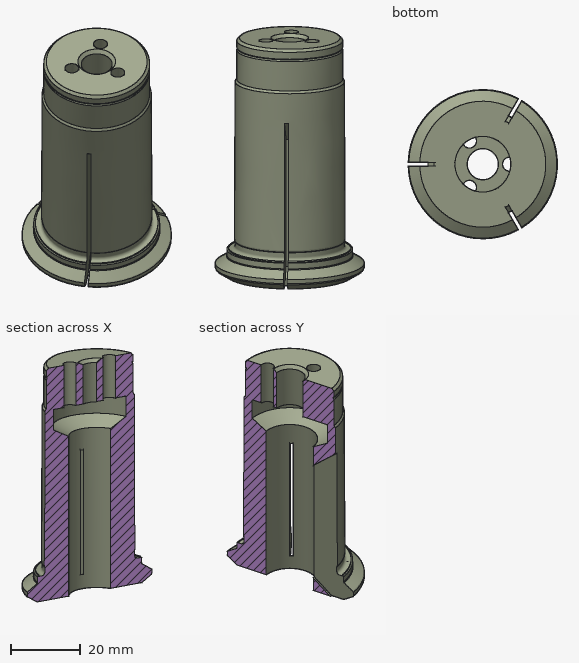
import cadquery as cq
import math

length = 70.0
flange_radius = 21.5
rim_bottom = 2.4
rim_top = 3.6
rim_edge_inset = 0.2
rim_lower_edge_height = 0.4
rim_upper_edge_height = 0.2
flange_face_radius = 18.1
collar_radius = 18.1
collar_base = 5.95
collar_flare_width = 0.15
collar_flare_height = 0.3
collar_top = 8.1
collar_chamfer = 0.5
recess_floor = 7.8

neck_radius = 15.75
neck_top = 10.15
neck_fillet_radius = 1.0
body_base_radius = 15.95
body_base = 10.8
body_edge_inset = 0.1
body_edge_height = 0.4
body_top_radius = 15.75
body_top = 57.1
shoulder_height = 0.7

head_radius = 30.5 / 2
head_chamfer = 0.8
groove_top = 67.1
groove_floor_height = 0.2
groove_base = 66.5
groove_depth = 0.3

bore_radius = 16.0 / 2
bore_top = 48.3
chamber_radius = 25.6 / 2
chamber_floor_slope = 30
chamber_top = body_top
screw_hole_radius = 8.9 / 2
screw_countersink = 1.0

pattern_count = 3
small_hole_radius = 4.0 / 2
small_hole_circle_radius = 7.7

slot_width = 1.1
slot_first_angle = 60
slot_top = 48.3
slot_bore_top = 41.85
slot_bore_bottom = 4.35
slot_sill_slope = 36


def turned(profile):
    """Revolve a closed XZ profile about the Z axis."""
    return profile.close().revolve(360, (0, 0, 0), (0, 1, 0))


def make_outside():
    """Solid of revolution with every outer step, groove, chamfer and fillet."""
    fillet_bend = neck_fillet_radius * (1 - math.sqrt(0.5))
    recess_radius = collar_radius - collar_chamfer
    groove_radius = head_radius - groove_depth
    profile = (
        cq.Workplane("XZ")
        .lineTo(flange_face_radius, 0)
        .lineTo(flange_radius - rim_edge_inset, rim_bottom - rim_lower_edge_height)
        .lineTo(flange_radius, rim_bottom)
        .lineTo(flange_radius, rim_top)
        .lineTo(flange_radius - rim_edge_inset, rim_top + rim_upper_edge_height)
        .lineTo(collar_radius + collar_flare_width, collar_base - collar_flare_height)
        .lineTo(collar_radius, collar_base)
        .lineTo(collar_radius, collar_top - collar_chamfer)
        .lineTo(recess_radius, collar_top)
        .lineTo(recess_radius, recess_floor)
        .lineTo(neck_radius + neck_fillet_radius, recess_floor)
        .threePointArc(
            (neck_radius + fillet_bend, recess_floor + fillet_bend),
            (neck_radius, recess_floor + neck_fillet_radius),
        )
        .lineTo(neck_radius, neck_top)
        .lineTo(body_base_radius - body_edge_inset, body_base - body_edge_height)
        .lineTo(body_base_radius, body_base)
        .lineTo(body_top_radius, body_top)
        .lineTo(head_radius, body_top + shoulder_height)
        .lineTo(head_radius, groove_base)
        .lineTo(groove_radius, groove_top - groove_floor_height)
        .lineTo(groove_radius, groove_top)
        .lineTo(head_radius, groove_top)
        .lineTo(head_radius, length - head_chamfer)
        .lineTo(head_radius - head_chamfer, length)
        .lineTo(0, length)
    )
    return turned(profile)


def make_inside():
    """Bore, chamber with a conical floor, and countersunk screw hole."""
    floor_rise = (chamber_radius - bore_radius) * math.tan(math.radians(chamber_floor_slope))
    profile = (
        cq.Workplane("XZ")
        .lineTo(bore_radius, 0)
        .lineTo(bore_radius, bore_top)
        .lineTo(chamber_radius, bore_top + floor_rise)
        .lineTo(chamber_radius, chamber_top)
        .lineTo(screw_hole_radius, chamber_top)
        .lineTo(screw_hole_radius, length - screw_countersink)
        .lineTo(screw_hole_radius + screw_countersink, length)
        .lineTo(0, length)
    )
    return turned(profile)


def make_small_holes():
    """Ring of small holes between the head face and the chamber."""
    return (
        cq.Workplane("XY")
        .workplane(offset=chamber_top)
        .polarArray(small_hole_circle_radius, 0, 360, pattern_count)
        .circle(small_hole_radius)
        .extrude(length - chamber_top)
    )


def make_slot(angle):
    """Radial slot through wall and flange; its top slopes down inward, its sill up inward."""
    reach = flange_radius + 0.7
    top_slope = (slot_top - slot_bore_top) / (body_top_radius - bore_radius)
    sill_run = slot_bore_bottom / math.tan(math.radians(slot_sill_slope))
    return (
        cq.Workplane("XZ")
        .moveTo(bore_radius + sill_run, 0)
        .lineTo(reach, 0)
        .lineTo(reach, slot_top + top_slope * (reach - body_top_radius))
        .lineTo(bore_radius, slot_bore_top)
        .lineTo(0, slot_bore_top)
        .lineTo(0, slot_bore_bottom)
        .lineTo(bore_radius, slot_bore_bottom)
        .close()
        .extrude(slot_width / 2, both=True)
        .rotate((0, 0, 0), (0, 0, 1), angle)
    )


result = make_outside().cut(make_inside()).cut(make_small_holes())
for i in range(pattern_count):
    result = result.cut(make_slot(slot_first_angle + i * 360 / pattern_count))